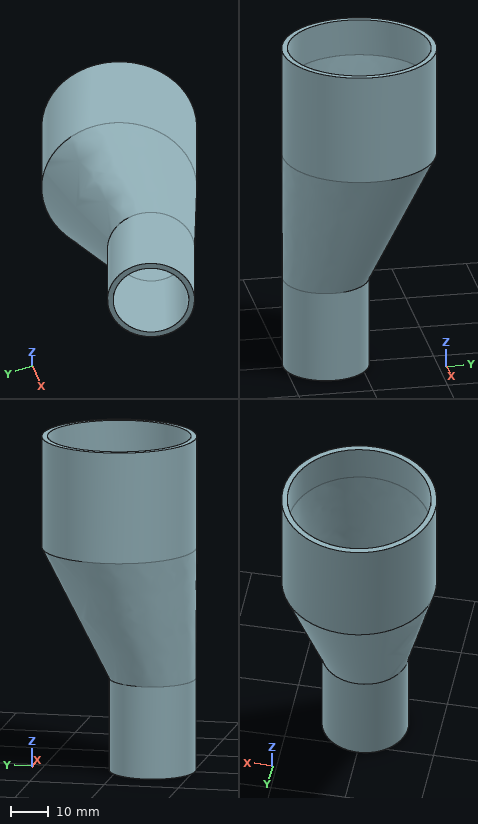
import cadquery as cq

total_height = 90.0
large_diameter = 41.0
small_diameter = 23.0
wall = 1.5
large_length = 30.0
small_length = 25.0
socket_depth = 10.0

small_center_y = -(large_diameter - small_diameter) / 2


def reducer_body(inset, top_length):
    """Small cylinder, eccentric taper and large cylinder of the given length, shrunk radially by inset."""
    large_radius = large_diameter / 2 - inset
    small_radius = small_diameter / 2 - inset
    taper_length = total_height - top_length - small_length
    small_end = cq.Workplane("XY").center(0, small_center_y).circle(small_radius).extrude(small_length)
    taper = (
        cq.Workplane("XY", origin=(0, 0, small_length))
        .center(0, small_center_y)
        .circle(small_radius)
        .workplane(offset=taper_length)
        .center(0, -small_center_y)
        .circle(large_radius)
        .loft(ruled=True)
    )
    large_end = (
        cq.Workplane("XY", origin=(0, 0, small_length + taper_length))
        .circle(large_radius)
        .extrude(top_length)
    )
    return small_end.union(taper).union(large_end)


outside = reducer_body(0, large_length)
bore = reducer_body(wall, socket_depth)
result = outside.cut(bore)